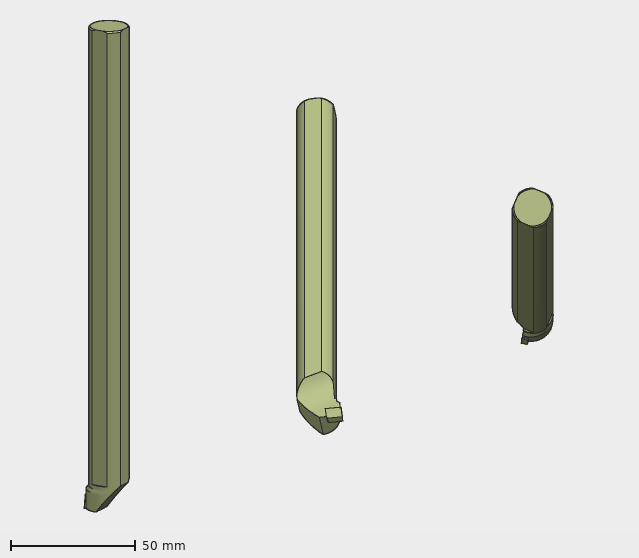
import cadquery as cq
import math

total_length = 204.5
shank_half_width = 7.46
flat_half_length = 3.5
shank_radius = math.hypot(shank_half_width, flat_half_length)
end_chamfer = 0.6
shank_bottom = 12.9

neck_bottom = 11.2
flare_bottom = 9.6
head_radius = 9.0
head_x = -0.6
head_y = 0.51
head_bottom_left = 1.0
head_bottom_right = 1.8
slope_bottom_x = -1.2
side_cut_depth = 20.5

chip_face_y = 0.5
gullet_bottom = 6.5
gullet_radius = 17.4
gullet_skew = 20.0
gullet_length = 81.8

tip_x = shank_half_width - 18.2
insert_edge = 6.5
edge_clearance = 5.0
insert_thickness = 2.5
insert_relief = 7.0


def make_shank():
    length = total_length - shank_bottom
    bar = cq.Workplane("XY").workplane(offset=shank_bottom).circle(shank_radius).extrude(length)
    bar = bar.faces(">Z").chamfer(end_chamfer)
    flats = (
        cq.Workplane("XY")
        .workplane(offset=shank_bottom)
        .rect(2 * shank_half_width, 2 * shank_half_width)
        .extrude(length)
    )
    return bar.intersect(flats)


def make_head():
    neck = (
        cq.Workplane("XY")
        .workplane(offset=neck_bottom)
        .circle(shank_radius)
        .extrude(shank_bottom - neck_bottom)
    )
    flare = (
        cq.Workplane("XY", origin=(0, 0, neck_bottom))
        .circle(shank_radius)
        .workplane(offset=flare_bottom - neck_bottom)
        .center(head_x, head_y)
        .circle(head_radius)
        .loft(combine=True)
    )
    block = cq.Workplane("XY").center(head_x, head_y).circle(head_radius).extrude(flare_bottom)
    side_outline = (
        cq.Workplane("XZ")
        .moveTo(-side_cut_depth, head_bottom_left)
        .lineTo(slope_bottom_x, head_bottom_right)
        .lineTo(shank_half_width, shank_bottom)
        .lineTo(-side_cut_depth, shank_bottom)
        .close()
        .extrude(side_cut_depth, both=True)
    )
    return neck.union(flare).union(block).intersect(side_outline)


def make_gullet():
    """Cutter whose profile is the chip face running into a tangent arc."""
    arc_center_y = chip_face_y + gullet_radius
    arc_mid = gullet_radius * math.sqrt(0.5)
    skewed_plane = cq.Plane(origin=(0, 0, gullet_bottom), xDir=(0, 1, 0), normal=(1, 0, 0))
    curved = (
        cq.Workplane(skewed_plane)
        .moveTo(chip_face_y, 0)
        .threePointArc((arc_center_y - arc_mid, arc_mid), (arc_center_y, gullet_radius))
        .lineTo(arc_center_y, -gullet_length / 2)
        .lineTo(chip_face_y, -gullet_length / 2)
        .close()
        .extrude(gullet_length / 2, both=True)
    )
    pivot = (0, 0, gullet_bottom)
    return curved.rotate(pivot, (0, 1, gullet_bottom), gullet_skew)


def make_insert():
    lean = math.radians(edge_clearance)
    along = insert_edge * math.cos(lean)
    rise = insert_edge * math.sin(lean)
    outline = [
        (tip_x, 0),
        (tip_x + along, rise),
        (tip_x + along + rise, rise + along),
        (tip_x + rise, along),
    ]
    return (
        cq.Workplane("XZ", origin=(0, chip_face_y, 0))
        .polyline(outline)
        .close()
        .extrude(insert_thickness, taper=insert_relief)
    )


insert = make_insert()
holder = make_shank().union(make_head()).cut(make_gullet()).cut(insert)

result = cq.Compound.makeCompound([holder.solids().val(), insert.val()])